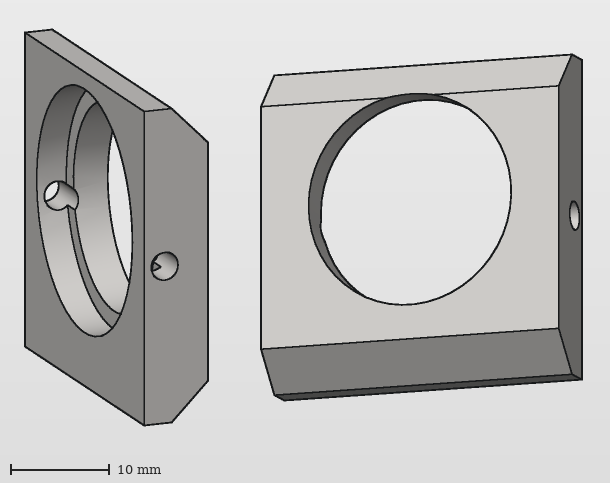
import cadquery as cq

width = 32.0
thickness = 7.0
height = 33.0
bevel = 4.0

bore_diameter = 21.78
bore_offset = 1.9
recess_diameter = 25.6
recess_depth = 3.25

cross_hole_diameter = 2.9
cross_hole_setback = 2.25

front = -thickness / 2
back = thickness / 2


def beveled_plate():
    """Plate whose upper and lower back edges are beveled at 45 degrees."""
    plate = cq.Workplane("XY").box(width, thickness, height)
    return plate.faces(">Y").edges("|X").chamfer(bevel)


def bore_cutter(diameter, depth):
    """Cylinder entering the front face along +Y."""
    plane = cq.Plane(origin=(0, front, bore_offset), xDir=(1, 0, 0), normal=(0, 1, 0))
    return cq.Workplane(plane).circle(diameter / 2).extrude(depth)


def cross_hole_cutter():
    """Cylinder along X at mid height."""
    plane = cq.Workplane("YZ", origin=(-width / 2, 0, 0))
    return plane.center(front + cross_hole_setback, 0).circle(cross_hole_diameter / 2).extrude(width)


result = (
    beveled_plate()
    .cut(bore_cutter(bore_diameter, thickness))
    .cut(bore_cutter(recess_diameter, recess_depth))
    .cut(cross_hole_cutter())
)